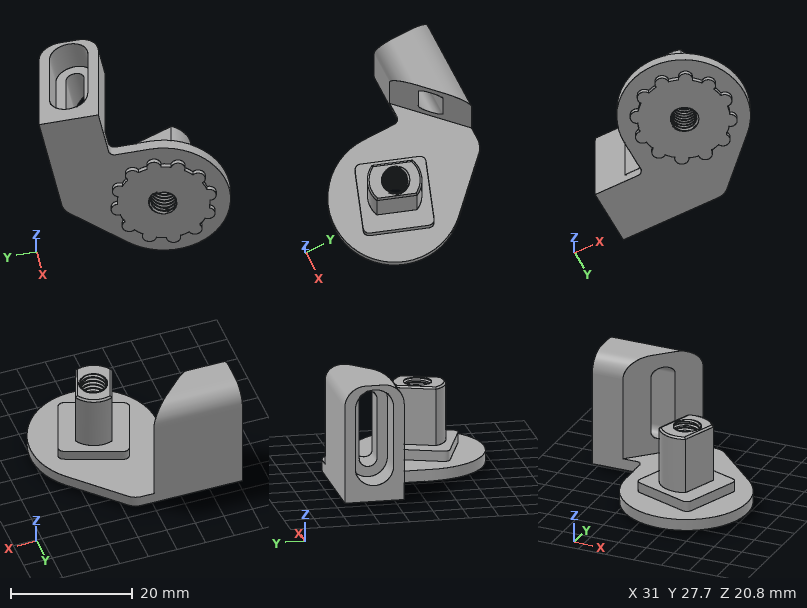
import cadquery as cq
import math

disc_radius = 11.0
plate_thickness = 2.0
arm_end_x = -20.0
arm_back_y = 16.68
arm_width = 9.98
arm_front_y = arm_back_y - arm_width
arm_center_y = arm_back_y - arm_width / 2
plate_corner_radius = 3.0
inner_corner_radius = 1.0

arm_height = 20.0
arm_top_radius = 3.5
miter_front_x = -14.45
slot_center_z = 11.0
slot_width = 3.0
slot_height = 13.0
recess_width = 6.45
recess_height = 16.5
recess_depth = 5.0

turn_angle = -20
pad_side = 11.78
pad_height = 1.77
pad_corner_radius = 1.0
post_diameter = 9.0
post_across_flats = 6.0
post_height = 10.0
post_chamfer = 0.3
pad_top_z = plate_thickness + pad_height
post_top_z = pad_top_z + post_height

bore_diameter = 4.25
thread_diameter = 5.0
thread_pitch = 0.8
thread_start_angle = 37
thread_overlap = 0.1
groove_mouth = 0.65
groove_root = 0.12

lobe_count = 12
lobe_circle_radius = 7.63
lobe_radius = 1.18
lobe_height = 0.8


def make_plate():
    diagonal = disc_radius * math.sqrt(0.5)
    corner_x = 2 * diagonal - arm_back_y
    outline = (
        cq.Workplane("XY")
        .moveTo(arm_end_x, arm_back_y)
        .lineTo(corner_x, arm_back_y)
        .lineTo(diagonal, diagonal)
        .threePointArc((diagonal, -diagonal), (-disc_radius, 0))
        .lineTo(-disc_radius, arm_front_y)
        .lineTo(arm_end_x, arm_front_y)
        .close()
    )
    plate = outline.extrude(plate_thickness)
    outer_corner = cq.selectors.NearestToPointSelector((corner_x, arm_back_y, plate_thickness / 2))
    plate = plate.edges("|Z").edges(outer_corner).fillet(plate_corner_radius)
    inner_corner = cq.selectors.NearestToPointSelector((-disc_radius, arm_front_y, plate_thickness / 2))
    return plate.edges("|Z").edges(inner_corner).fillet(inner_corner_radius)


def make_arm():
    """Upright block, mitred at 45 degrees and rounded along its top."""
    miter_back_x = miter_front_x + arm_width
    footprint = [
        (arm_end_x, arm_front_y),
        (miter_front_x, arm_front_y),
        (miter_back_x, arm_back_y),
        (arm_end_x, arm_back_y),
    ]
    block = cq.Workplane("XY").polyline(footprint).close().extrude(arm_height)
    return block.edges("|X and >Z").fillet(arm_top_radius)


def make_slot(width, height, length):
    """Upright slot cutter running in +X from the end face of the arm."""
    return (
        cq.Workplane("YZ", origin=(arm_end_x, arm_center_y, slot_center_z))
        .slot2D(height, width, 90)
        .extrude(length)
    )


def make_pad_and_post():
    pad = (
        cq.Workplane("XY", origin=(0, 0, plate_thickness))
        .rect(pad_side, pad_side)
        .extrude(pad_height)
        .edges("|Z")
        .fillet(pad_corner_radius)
    )
    post_base = cq.Workplane("XY", origin=(0, 0, pad_top_z))
    flats = post_base.rect(post_across_flats, post_diameter).extrude(post_height)
    post = post_base.circle(post_diameter / 2).extrude(post_height).intersect(flats)
    post = post.faces(">Z").chamfer(post_chamfer)
    return pad.union(post).rotate((0, 0, 0), (0, 0, 1), turn_angle)


def make_lobed_disc():
    base = cq.Workplane("XY", origin=(0, 0, -lobe_height))
    disc = base.circle(lobe_circle_radius).extrude(lobe_height)
    lobes = base.polarArray(lobe_circle_radius, 0, 360, lobe_count).circle(lobe_radius).extrude(lobe_height)
    return disc.union(lobes)


def make_bore():
    bore_length = post_top_z + lobe_height
    return cq.Workplane("XY", origin=(0, 0, -lobe_height)).circle(bore_diameter / 2).extrude(bore_length)


def make_thread():
    """Helical groove cutter that runs out past both ends of the bore."""
    start_z = -lobe_height - thread_pitch
    length = post_top_z + lobe_height + 2 * thread_pitch
    inner_radius = bore_diameter / 2 - thread_overlap
    outer_radius = thread_diameter / 2
    helix = cq.Wire.makeHelix(thread_pitch, length, inner_radius).translate(cq.Vector(0, 0, start_z))
    profile = [
        (inner_radius, start_z - groove_mouth / 2),
        (outer_radius, start_z - groove_root / 2),
        (outer_radius, start_z + groove_root / 2),
        (inner_radius, start_z + groove_mouth / 2),
    ]
    groove = cq.Workplane("XZ").polyline(profile).close().sweep(cq.Workplane(helix), isFrenet=True)
    return groove.rotate((0, 0, 0), (0, 0, 1), thread_start_angle)


through_slot_length = miter_front_x + arm_width - arm_end_x
body = make_plate().union(make_arm())
body = body.cut(make_slot(slot_width, slot_height, through_slot_length))
body = body.cut(make_slot(recess_width, recess_height, recess_depth))
body = body.union(make_pad_and_post()).union(make_lobed_disc())
result = body.cut(make_thread()).cut(make_bore())